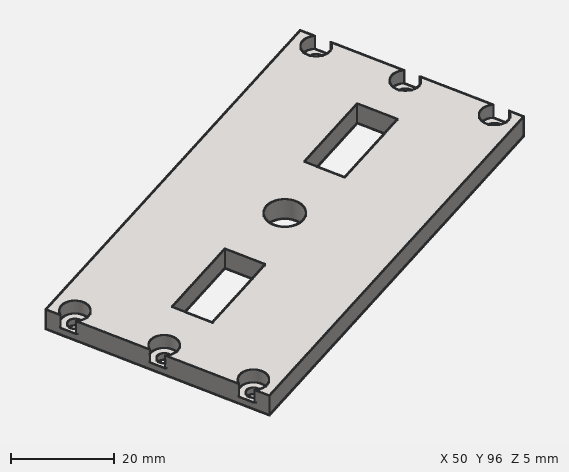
import cadquery as cq

width = 50.0
length = 96.0
thickness = 5.0

screw_diameter = 3.0
head_diameter = 6.0
head_depth = 3.3
screw_pitch = 20.0
screw_edge_distance = 2.5

center_diameter = 8.2
window_width = 9.0
window_length = 20.0
window_offset = 25.0


def mirrored_rows(offset, columns):
    """Points at every column, in rows at +offset and -offset along Y."""
    return [(x, y) for x in columns for y in (offset, -offset)]


screw_points = mirrored_rows(length / 2 - screw_edge_distance, (-screw_pitch, 0, screw_pitch))
window_points = mirrored_rows(window_offset, (0,))

plate = cq.Workplane("XY").box(width, length, thickness, centered=(True, True, False))

screw_holes = cq.Workplane("XY").pushPoints(screw_points).circle(screw_diameter / 2).extrude(thickness)
head_recesses = (
    cq.Workplane("XY", origin=(0, 0, thickness - head_depth))
    .pushPoints(screw_points)
    .circle(head_diameter / 2)
    .extrude(head_depth)
)

center_hole = cq.Workplane("XY").circle(center_diameter / 2).extrude(thickness)
windows = cq.Workplane("XY").pushPoints(window_points).rect(window_width, window_length).extrude(thickness)

result = plate.cut(screw_holes).cut(head_recesses).cut(center_hole).cut(windows)